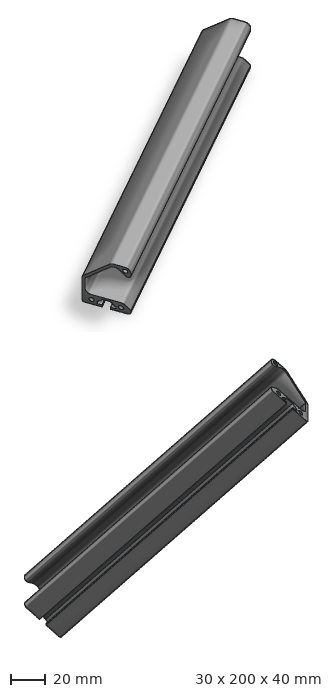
import cadquery as cq
import math

width = 30.0
length = 200.0
height = 40.0

wall = 2.0
wall_corner_z = 22.0
floor_top = 8.2
bend_radius = 4.0
bevel_radius = 5.0
base_corner_radius = 2.0

screw_diameter = 3.2
lip_hole_inset = 3.5
lip_corner_radius = 4.0
lip_tip_radius = 1.8
lip_tip_bottom = 32.0

bevel_bottom = 3.5
slot_center = width / 2
slot_mouth = 5.2
slot_width = 11.5
slot_roof_width = 4.8
slot_lip = 1.8
slot_roof_z = 6.5
base_hole_spacing = 18.0
base_hole_z = 4.0


def extrude_profile(sketch):
    """Extrude an XZ profile along the full length, towards +Y."""
    return sketch.extrude(-length)


def round_edge(body, x, z, radius):
    """Round the lengthwise edge passing through (x, z)."""
    tol = 0.02
    box = cq.selectors.BoxSelector((x - tol, -tol, z - tol), (x + tol, length + tol, z + tol))
    return body.edges(box).fillet(radius)


slope_inner_rise = wall_corner_z - wall * math.sqrt(2)
tip_center_x = width - lip_tip_radius
tip_center_z = lip_tip_bottom + lip_tip_radius
diagonal = lip_tip_radius / math.sqrt(2)
lip_sum = tip_center_x + tip_center_z - 2 * diagonal
arch_x = (lip_sum - slope_inner_rise) / 2
arch_z = arch_x + slope_inner_rise
outer_bend_x = height - wall_corner_z
bevel_top_x = width - (floor_top - bevel_bottom)

body = extrude_profile(
    cq.Workplane("XZ")
    .moveTo(0, 0)
    .lineTo(0, wall_corner_z)
    .lineTo(outer_bend_x, height)
    .lineTo(width, height)
    .lineTo(width, tip_center_z)
    .threePointArc(
        (
            tip_center_x + lip_tip_radius * math.sin(math.pi / 8),
            tip_center_z - lip_tip_radius * math.cos(math.pi / 8),
        ),
        (tip_center_x - diagonal, tip_center_z - diagonal),
    )
    .lineTo(arch_x, arch_z)
    .lineTo(wall, wall + slope_inner_rise)
    .lineTo(wall, floor_top)
    .lineTo(bevel_top_x, floor_top)
    .lineTo(width, bevel_bottom)
    .lineTo(width, 0)
    .close()
)

rounded_edges = [
    (0, wall_corner_z, bend_radius),
    (outer_bend_x, height, bend_radius),
    (arch_x, arch_z, bend_radius),
    (wall, floor_top, bend_radius),
    (bevel_top_x, floor_top, bevel_radius),
    (width, height, lip_corner_radius),
    (0, 0, base_corner_radius),
    (width, 0, base_corner_radius),
]
for edge_x, edge_z, radius in rounded_edges:
    body = round_edge(body, edge_x, edge_z, radius)

shoulder_z = slot_roof_z - (slot_width - slot_roof_width) / 2
half_section = [
    (slot_mouth / 2, 0),
    (slot_mouth / 2, slot_lip),
    (slot_width / 2, slot_lip),
    (slot_width / 2, shoulder_z),
    (slot_roof_width / 2, slot_roof_z),
]
right_side = [(slot_center + x, z) for x, z in half_section]
left_side = [(slot_center - x, z) for x, z in reversed(half_section)]
slot = extrude_profile(cq.Workplane("XZ").polyline(right_side + left_side).close())

hole_centers = [
    (slot_center - base_hole_spacing / 2, base_hole_z),
    (slot_center + base_hole_spacing / 2, base_hole_z),
    (width - lip_hole_inset, height - lip_hole_inset),
]
holes = extrude_profile(cq.Workplane("XZ").pushPoints(hole_centers).circle(screw_diameter / 2))

result = body.cut(slot).cut(holes)